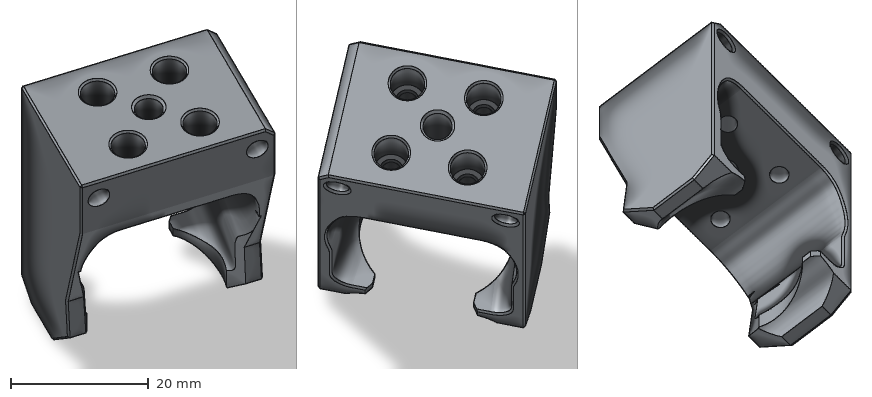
import cadquery as cq
import math

LENGTH = 22.19
WIDTH = 30.8
HEIGHT = 42.4
EDGE_CHAMFER = 0.3
TOP_CORNER_CHAMFER = 1.5

ENTRY_TOE_HEIGHT = 2.7
TOE_START_X = 3.9
TOE_END_X = 11.7
HEEL_X = 17.6
HEEL_HEIGHT = 6.1
WAIST_X = 16.9
WAIST_HEIGHT = 13.1
BACK_HEIGHT = 32.3

BARREL_RADIUS = 14.1
BARREL_HEIGHT = 21.1
CEILING_HEIGHT = 30.1
CEILING_FILLET = 4.0

POCKET_ENTRY_HALF_WIDTH = 13.35
POCKET_DRAFT = 5.5
POCKET_FLOOR = 5.5
POCKET_FILLET = 3.0
POCKET_BLEND = 5.0
FLARE_LENGTH = 1.7
FLARE_DEPTH = 0.8
UPPER_FLARE_LENGTH = 8.5
UPPER_FLARE_DEPTH = 2.1

LIP_HALF_GAP = 7.5
LIP_LEAD_IN_LENGTH = 1.2
LIP_LEAD_IN_DEPTH = 0.85
WELL_RADIUS = 11.4
UNDERCUT_RADIUS = 6.0
UNDERCUT_DEPTH = 2.0

HOLE_CENTRE_X = 11.3
SCREW_SPACING = 11.35
SCREW_HOLE = 2.8
SCREW_HEAD = 5.0
SCREW_HEAD_DEPTH = 6.0
CENTRE_HOLE = 4.2
CENTRE_HOLE_CHAMFER = 0.4
CROSS_HOLE = 3.4
CROSS_HOLE_CHAMFER = 0.35
CROSS_HOLE_Y = 12.5
CROSS_HOLE_HEIGHT = 38.95


def along_x(start=0.0):
    """Workplane at X = start whose axes are Y and Z and whose normal is +X."""
    return cq.Workplane("YZ", origin=(start, 0, 0))


def make_body():
    outline = [
        (0, ENTRY_TOE_HEIGHT),
        (TOE_START_X, 0),
        (TOE_END_X, 0),
        (HEEL_X, HEEL_HEIGHT),
        (WAIST_X, WAIST_HEIGHT),
        (LENGTH, BACK_HEIGHT),
        (LENGTH, HEIGHT),
        (0, HEIGHT),
    ]
    body = cq.Workplane("XZ").polyline(outline).close().extrude(WIDTH / 2, both=True)
    body = body.faces(">Y").edges(">Z").chamfer(TOP_CORNER_CHAMFER)
    outer_edges = body.faces("<Y").edges()
    outer_edges = outer_edges.add(body.faces(">Y").edges("not >Z"))
    outer_edges = outer_edges.add(body.faces(">Z").edges("|Y"))
    outer_edges = outer_edges.add(body.edges("(not #X) and (not #Y) and (not #Z)"))
    corner_y = WIDTH / 2 - TOP_CORNER_CHAMFER / 2
    corner_z = HEIGHT - TOP_CORNER_CHAMFER / 2
    for x in (0, LENGTH):
        outer_edges = outer_edges.add(body.edges(cq.NearestToPointSelector((x, corner_y, corner_z))))
    return outer_edges.chamfer(EDGE_CHAMFER)


def pocket_half_width(x):
    return POCKET_ENTRY_HALF_WIDTH - x * math.tan(math.radians(POCKET_DRAFT))


def make_passage():
    """Barrel passage and narrowing pocket, as one solid to remove."""
    barrel = along_x().center(0, BARREL_HEIGHT).circle(BARREL_RADIUS).extrude(LENGTH)
    ceiling = (
        along_x().center(0, CEILING_HEIGHT + HEIGHT / 2).rect(WIDTH, HEIGHT).extrude(LENGTH)
    )
    barrel = barrel.cut(ceiling).faces(">Z").edges("|X").fillet(CEILING_FILLET)
    entry_y = pocket_half_width(0)
    exit_y = pocket_half_width(LENGTH)
    plan = [(0, -entry_y), (LENGTH, -exit_y), (LENGTH, exit_y), (0, entry_y)]
    pocket = (
        cq.Workplane("XY", origin=(0, 0, POCKET_FLOOR))
        .polyline(plan)
        .close()
        .extrude(BARREL_HEIGHT - POCKET_FLOOR)
    )
    pocket = pocket.faces("<Z").edges("not |Y").fillet(POCKET_FILLET)
    passage = barrel.union(pocket)
    return passage.edges("%ELLIPSE and (not <X) and (not >X)").fillet(POCKET_BLEND)


def make_exit_flare():
    """Widening of the leg walls just before the exit side, following its bent outline."""
    back_slope = (LENGTH - WAIST_X) / (BACK_HEIGHT - WAIST_HEIGHT)
    barrel_exit_x = WAIST_X + back_slope * (BARREL_HEIGHT - WAIST_HEIGHT)
    stations = [
        (HEEL_X, 0, FLARE_LENGTH, FLARE_DEPTH),
        (HEEL_X, HEEL_HEIGHT, FLARE_LENGTH, FLARE_DEPTH),
        (WAIST_X, WAIST_HEIGHT, FLARE_LENGTH, FLARE_DEPTH),
        (barrel_exit_x, BARREL_HEIGHT, UPPER_FLARE_LENGTH, UPPER_FLARE_DEPTH),
    ]
    sections = []
    for exit_x, z, length, depth in stations:
        start_x = exit_x - length
        wall_y = pocket_half_width(start_x)
        inner_x = start_x - length
        inner_y = wall_y - depth
        exit_y = wall_y + depth
        corners = [(inner_x, -inner_y), (exit_x, -exit_y), (exit_x, exit_y), (inner_x, inner_y)]
        sections.append(cq.Wire.makePolygon([cq.Vector(x, y, z) for x, y in corners], close=True))
    return cq.Workplane(cq.Solid.makeLoft(sections, True))


def make_lip_gap():
    """Opening between the lips: lead-in, straight stretch and round well."""
    wide = LIP_HALF_GAP + LIP_LEAD_IN_DEPTH
    outline = [
        (0, -wide),
        (LIP_LEAD_IN_LENGTH, -LIP_HALF_GAP),
        (HOLE_CENTRE_X, -LIP_HALF_GAP),
        (HOLE_CENTRE_X, LIP_HALF_GAP),
        (LIP_LEAD_IN_LENGTH, LIP_HALF_GAP),
        (0, wide),
    ]
    gap = cq.Workplane("XY").polyline(outline).close().extrude(BARREL_HEIGHT)
    well = cq.Workplane("XY").center(HOLE_CENTRE_X, 0).circle(WELL_RADIUS).extrude(BARREL_HEIGHT)
    return gap.union(well)


def make_undercuts():
    """Round hollows along X that thin the lips from below."""
    centres = [(-LIP_HALF_GAP, -UNDERCUT_DEPTH), (LIP_HALF_GAP, -UNDERCUT_DEPTH)]
    return along_x().pushPoints(centres).circle(UNDERCUT_RADIUS).extrude(LENGTH)


def screw_cutter(top):
    """Counterbored screw hole pointing down from the given point, with broken edges."""
    head = SCREW_HEAD / 2
    shank = SCREW_HOLE / 2
    profile = [
        (0, 0),
        (head + EDGE_CHAMFER, 0),
        (head, -EDGE_CHAMFER),
        (head, -SCREW_HEAD_DEPTH),
        (shank + EDGE_CHAMFER, -SCREW_HEAD_DEPTH),
        (shank, -SCREW_HEAD_DEPTH - EDGE_CHAMFER),
        (shank, -BARREL_HEIGHT),
        (0, -BARREL_HEIGHT),
    ]
    cutter = cq.Workplane("XZ").polyline(profile).close().revolve(360, (0, 0), (0, 1))
    return cutter.translate(top)


def cut_top_holes(body):
    for side_x in (-1, 1):
        for side_y in (-1, 1):
            x = HOLE_CENTRE_X + side_x * SCREW_SPACING / 2
            y = side_y * SCREW_SPACING / 2
            body = body.cut(screw_cutter((x, y, HEIGHT)))
    top = cq.Workplane("XY", origin=(HOLE_CENTRE_X, 0, HEIGHT))
    mouth_radius = CENTRE_HOLE / 2 + CENTRE_HOLE_CHAMFER
    mouth = top.circle(mouth_radius).extrude(-CENTRE_HOLE_CHAMFER, taper=45)
    bore = top.circle(CENTRE_HOLE / 2).extrude(-BARREL_HEIGHT)
    return body.cut(bore).cut(mouth)


def cut_cross_holes(body):
    mouth_radius = CROSS_HOLE / 2 + CROSS_HOLE_CHAMFER
    for y in (-CROSS_HOLE_Y, CROSS_HOLE_Y):
        entry = along_x().center(y, CROSS_HOLE_HEIGHT)
        bore = entry.circle(CROSS_HOLE / 2).extrude(LENGTH)
        mouth = entry.circle(mouth_radius).extrude(CROSS_HOLE_CHAMFER, taper=45)
        body = body.cut(bore).cut(mouth)
    return body


def break_passage_mouth(body):
    rim = body.faces("<X").val().innerWires()[0].Edges()
    return body.newObject(rim).chamfer(EDGE_CHAMFER)


result = make_body().cut(make_passage())
result = break_passage_mouth(result)
result = result.cut(make_exit_flare())
result = result.cut(make_lip_gap())
result = result.cut(make_undercuts())
result = cut_top_holes(result)
result = cut_cross_holes(result)